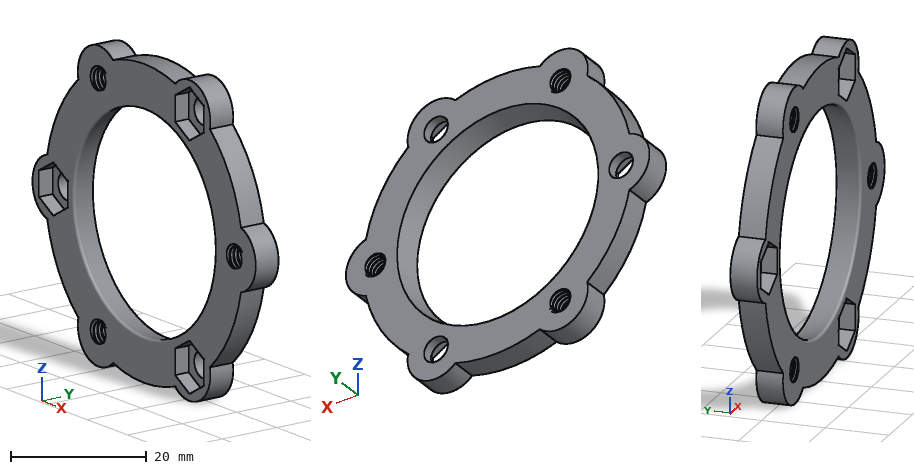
import cadquery as cq
import math

overall_width = 55.35
thickness = 4.2
ring_radius = 24.5
lobe_radius = 5.2
bolt_circle_radius = overall_width / 2 - lobe_radius

bore_throat_radius = 17.5
bore_edge_rounding = 0.4
bore_back_radius = 18.3
bore_back_land = 0.3

lobe_count = 6
clearance_diameter = 4.3
nut_sides = 6
nut_across_flats = 7.1
nut_pocket_depth = 2.5

thread_minor_diameter = 3.3
thread_major_diameter = 4.1
thread_pitch = 0.7
groove_mouth = 0.6
groove_root = 0.1
thread_start_angle = 210.0
groove_overlap = 0.05


def cylinder(x, z, radius, length=thickness):
    """Cylinder along +Y that starts on the front face."""
    axis_direction = cq.Vector(0, 1, 0)
    return cq.Workplane(cq.Solid.makeCylinder(radius, length, cq.Vector(x, 0, z), axis_direction))


def lobe_center(index):
    angle = math.radians(index * 360 / lobe_count)
    return bolt_circle_radius * math.cos(angle), bolt_circle_radius * math.sin(angle)


def nut_pocket(x, z):
    """Hexagonal recess with corners pointing along +Z and -Z."""
    across_corners = nut_across_flats / math.cos(math.pi / nut_sides)
    hexagon = cq.Workplane("XY").polygon(nut_sides, across_corners).extrude(nut_pocket_depth)
    corner_angle = 360 / nut_sides / 2
    upright = hexagon.rotate((0, 0, 0), (0, 0, 1), corner_angle)
    return upright.rotate((0, 0, 0), (1, 0, 0), -90).translate((x, 0, z))


def tapped_hole_cutter():
    """Drill with a helical thread ridge, running past both faces of the ring along Y."""
    minor_radius = thread_minor_diameter / 2
    inner_radius = minor_radius - groove_overlap
    major_radius = thread_major_diameter / 2
    helix_length = thickness + 2 * thread_pitch
    helix = cq.Wire.makeHelix(thread_pitch, helix_length, minor_radius)
    profile = (
        cq.Workplane("XZ")
        .moveTo(inner_radius, -groove_mouth / 2)
        .lineTo(major_radius, -groove_root / 2)
        .lineTo(major_radius, groove_root / 2)
        .lineTo(inner_radius, groove_mouth / 2)
        .close()
    )
    ridge = profile.sweep(cq.Workplane(helix), isFrenet=True)
    drill_start = cq.Workplane("XY", origin=(0, 0, -thread_pitch))
    drill = drill_start.circle(minor_radius).extrude(helix_length + 2 * thread_pitch)
    cutter = drill.union(ridge).translate((0, 0, -thread_pitch))
    turned = cutter.rotate((0, 0, 0), (0, 0, 1), thread_start_angle)
    return turned.rotate((0, 0, 0), (1, 0, 0), -90)


def bore_cutter():
    """Revolved tool for the central bore, drawn as a half profile in the XY plane."""
    arc_offset = bore_edge_rounding * (1 - math.sin(math.pi / 4))
    return (
        cq.Workplane("XY")
        .lineTo(bore_throat_radius + bore_edge_rounding, 0)
        .threePointArc(
            (bore_throat_radius + arc_offset, arc_offset),
            (bore_throat_radius, bore_edge_rounding),
        )
        .lineTo(bore_back_radius, thickness - bore_back_land)
        .lineTo(bore_back_radius, thickness)
        .lineTo(0, thickness)
        .close()
        .revolve(360, (0, 0, 0), (0, 1, 0))
    )


body = cylinder(0, 0, ring_radius)
for index in range(lobe_count):
    body = body.union(cylinder(*lobe_center(index), lobe_radius))

body = body.cut(bore_cutter())

tapped_hole = tapped_hole_cutter()
for index in range(lobe_count):
    x, z = lobe_center(index)
    if index % 2 == 0:
        body = body.cut(tapped_hole.translate((x, 0, z)))
    else:
        body = body.cut(cylinder(x, z, clearance_diameter / 2))
        body = body.cut(nut_pocket(x, z))

result = body